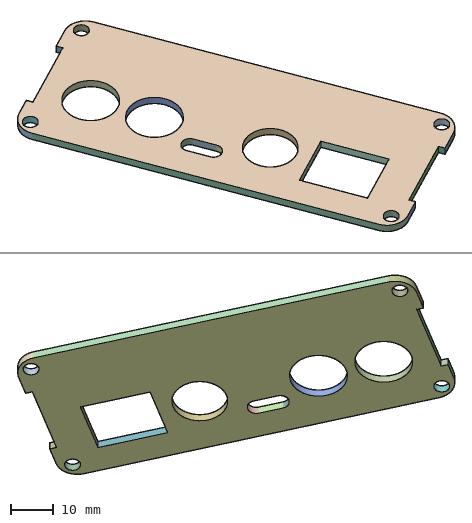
import cadquery as cq

length = 96.9
width = 40.2
thickness = 2.0
corner_radius = 5.2

notch_depth = 1.6
notch_top = 9.4
left_notch_bottom = -10.2
right_notch_bottom = -9.9

screw_diameter = 3.7
screw_centers = [(-44.9, 16.5), (-45.0, -16.7), (44.9, 16.7), (44.9, -16.5)]

row_y = -4.9
large_diameter = 13.5
large_centers_x = [-34.4, -18.5]
small_diameter = 13.0
small_center_x = 10.4

window_length = 17.0
window_width = 14.05
window_center = (29.1, -5.7)

slot_length = 10.0
slot_width = 4.2
slot_corner_radius = 2.0
slot_center = (-4.6, -10.7)


def round_cutter(diameter, centers):
    """Cylinders through the full plate thickness."""
    return cq.Workplane("XY").pushPoints(centers).circle(diameter / 2).extrude(thickness)


def box_cutter(size_x, size_y, center):
    """Rectangular block through the full plate thickness."""
    return cq.Workplane("XY").center(*center).rect(size_x, size_y).extrude(thickness)


def notch_cutter(side, bottom):
    """Edge notch; side is -1 for the -X edge and +1 for the +X edge."""
    center = (side * length / 2, (notch_top + bottom) / 2)
    return box_cutter(2 * notch_depth, notch_top - bottom, center)


plate = cq.Workplane("XY").rect(length, width).extrude(thickness).edges("|Z").fillet(corner_radius)

slot = box_cutter(slot_length, slot_width, slot_center).edges("|Z").fillet(slot_corner_radius)

result = (
    plate
    .cut(notch_cutter(-1, left_notch_bottom))
    .cut(notch_cutter(1, right_notch_bottom))
    .cut(round_cutter(screw_diameter, screw_centers))
    .cut(round_cutter(large_diameter, [(x, row_y) for x in large_centers_x]))
    .cut(round_cutter(small_diameter, [(small_center_x, row_y)]))
    .cut(box_cutter(window_length, window_width, window_center))
    .cut(slot)
)